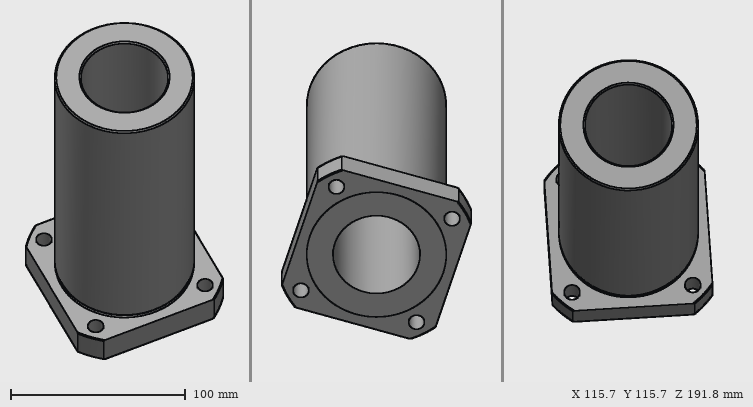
import cadquery as cq

total_height = 191.8
sleeve_diameter = 80.0
sleeve_bore_diameter = 49.9
sleeve_edge_chamfer = 1.0

groove_depth = 1.0
groove_height = 2.5
groove_root_height = 0.8

flange_diameter = 115.7
flange_thickness = 18.0
flange_across_flats = 92.0
flange_edge_chamfer = 0.5
bolt_hole_diameter = 9.0
bolt_circle_diameter = 98.0
bolt_hole_count = 4
flat_angle = 45.0


def make_cylinder(diameter, height):
    return cq.Workplane("XY").circle(diameter / 2).extrude(height)


def make_sleeve():
    """Tube standing through the flange, with a V-groove around it just above the flange."""
    outer_radius = sleeve_diameter / 2
    bore_radius = sleeve_bore_diameter / 2
    chamfer_start = total_height - sleeve_edge_chamfer
    return (
        cq.Workplane("XZ")
        .moveTo(-bore_radius, 0)
        .lineTo(-outer_radius, 0)
        .lineTo(-outer_radius, flange_thickness)
        .lineTo(-outer_radius + groove_depth, flange_thickness + groove_root_height)
        .lineTo(-outer_radius, flange_thickness + groove_height)
        .lineTo(-outer_radius, chamfer_start)
        .lineTo(-outer_radius + sleeve_edge_chamfer, total_height)
        .lineTo(-bore_radius - sleeve_edge_chamfer, total_height)
        .lineTo(-bore_radius, chamfer_start)
        .close()
        .revolve(360, (0, 0), (0, 1))
    )


def make_flange():
    """Chamfered disc trimmed by four diagonal flats, with bolt holes in its corners."""
    disc = make_cylinder(flange_diameter, flange_thickness).edges().chamfer(flange_edge_chamfer)
    trimming_block = (
        cq.Workplane("XY")
        .rect(flange_across_flats, flange_across_flats)
        .extrude(flange_thickness)
        .rotate((0, 0, 0), (0, 0, 1), flat_angle)
    )
    bolt_holes = (
        cq.Workplane("XY")
        .polarArray(bolt_circle_diameter / 2, 0, 360, bolt_hole_count)
        .circle(bolt_hole_diameter / 2)
        .extrude(flange_thickness)
    )
    sleeve_seat = make_cylinder(sleeve_diameter, flange_thickness)
    return disc.intersect(trimming_block).cut(bolt_holes).cut(sleeve_seat)


sleeve = make_sleeve()
flange = make_flange()

result = cq.Compound.makeCompound([sleeve.val(), flange.val()])